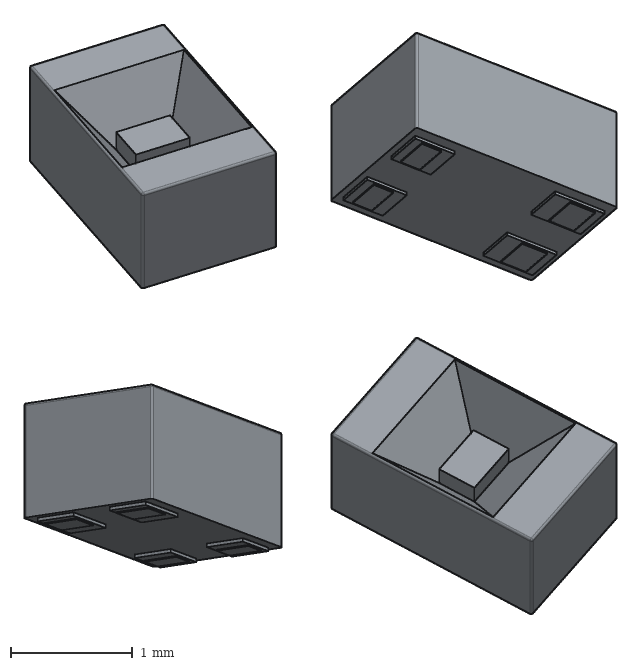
import cadquery as cq

LENGTH = 2.0
WIDTH = 1.25
HEIGHT = 1.01
EDGE_RADIUS = 0.02

PAD_THICKNESS = 0.03
PAD_WIDTH = 0.35
PAD_GAP = 0.35
PAD_END_MARGIN = 0.06
SHORT_PAD_LENGTH = 0.39
LONG_PAD_LENGTH = 0.49

CONTACT_THICKNESS = 0.01
CONTACT_WIDTH = 0.31
CONTACT_END_MARGIN = 0.138
SHORT_CONTACT_LENGTH = 0.195
LONG_CONTACT_LENGTH = 0.25

CHIP_LENGTH = 0.35
CHIP_WIDTH = 0.5
CHIP_HEIGHT = 0.18

MOUTH_SIDE = 1.2
CAVITY_DEPTH = 0.45

BLOCK_BOTTOM_Z = PAD_THICKNESS + CONTACT_THICKNESS
CAVITY_FLOOR_Z = HEIGHT - CAVITY_DEPTH


def make_block():
    """Block with rounded upright and top edges and a sharp bottom outline."""
    block = cq.Workplane("XY").workplane(offset=BLOCK_BOTTOM_Z)
    block = block.rect(LENGTH, WIDTH).extrude(HEIGHT - BLOCK_BOTTOM_Z)
    return block.edges("|Z or >Z").fillet(EDGE_RADIUS)


def make_cavity():
    """Four-sided funnel from the chip footprint up to the mouth in the rim."""
    return (
        cq.Workplane("XY")
        .workplane(offset=CAVITY_FLOOR_Z)
        .rect(CHIP_LENGTH, CHIP_WIDTH)
        .workplane(offset=CAVITY_DEPTH)
        .rect(MOUTH_SIDE, MOUTH_SIDE)
        .loft(ruled=True)
    )


def make_plate(length, width, thickness, x_center, y_center, z_bottom):
    """Flat rectangular plate, used for the pads, the contacts and the chip."""
    plate = cq.Workplane("XY").box(length, width, thickness, centered=(True, True, False))
    return plate.translate((x_center, y_center, z_bottom))


def make_pad(end, side, pad_length, contact_length):
    """Pad with its contact, at the given end (-1 or 1 in X) and side (-1 or 1 in Y)."""
    y_center = side * (PAD_GAP + PAD_WIDTH) / 2
    pad_x = end * (LENGTH / 2 - PAD_END_MARGIN - pad_length / 2)
    contact_x = end * (LENGTH / 2 - CONTACT_END_MARGIN - contact_length / 2)
    pad = make_plate(pad_length, PAD_WIDTH, PAD_THICKNESS, pad_x, y_center, CONTACT_THICKNESS)
    contact = make_plate(contact_length, CONTACT_WIDTH, CONTACT_THICKNESS, contact_x, y_center, 0)
    return pad.union(contact)


def make_housing():
    """Block with the cavity cut into its top and two rows of pads below."""
    housing = make_block().cut(make_cavity())
    for side in (-1, 1):
        housing = housing.union(make_pad(-1, side, SHORT_PAD_LENGTH, SHORT_CONTACT_LENGTH))
        housing = housing.union(make_pad(1, side, LONG_PAD_LENGTH, LONG_CONTACT_LENGTH))
    return housing.solids()


def make_chip():
    """Rectangular chip that stands on the cavity floor and covers it."""
    return make_plate(CHIP_LENGTH, CHIP_WIDTH, CHIP_HEIGHT, 0, 0, CAVITY_FLOOR_Z)


housing = make_housing()
chip = make_chip()

result = cq.Compound.makeCompound([housing.val(), chip.val()])